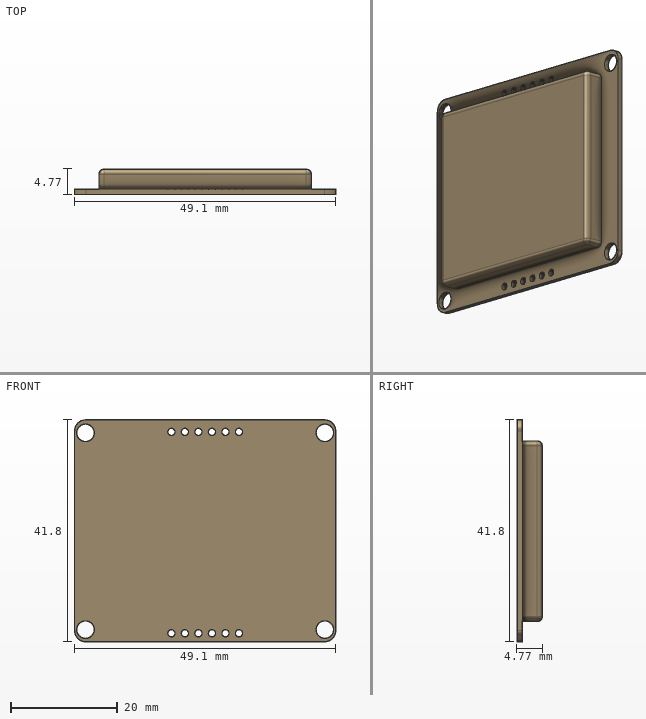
import cadquery as cq

BOARD_WIDTH = 49.15
BOARD_HEIGHT = 41.78
BOARD_THICKNESS = 1.02
BOARD_CORNER_RADIUS = 2.15

LAYOUT_CENTER_Z = -0.08

TOTAL_DEPTH = 4.77
BLOCK_WIDTH = 40.0
BLOCK_HEIGHT = 34.0
BLOCK_DEPTH = TOTAL_DEPTH - BOARD_THICKNESS
BLOCK_EDGE_RADIUS = 1.0

MOUNT_HOLE_DIAMETER = 3.25
MOUNT_SPACING_X = 45.0
MOUNT_SPACING_Z = 37.0

PIN_HOLE_DIAMETER = 1.3
PIN_COUNT = 6
PIN_PITCH = 2.54
PIN_ROW_HEIGHTS = (18.6, -19.27)


def front_plane():
    """XZ sketch plane on the front face of the board, with its normal along -Y."""
    return cq.Workplane("XZ")


def make_board():
    board = front_plane().rect(BOARD_WIDTH, BOARD_HEIGHT).extrude(-BOARD_THICKNESS)
    return board.edges("|Y").fillet(BOARD_CORNER_RADIUS)


def make_block():
    """Block with its side corners and rear rim rounded, its seat on the board left square."""
    block = (
        front_plane()
        .workplane(offset=-BOARD_THICKNESS)
        .center(0, LAYOUT_CENTER_Z)
        .rect(BLOCK_WIDTH, BLOCK_HEIGHT)
        .extrude(-BLOCK_DEPTH)
    )
    return block.edges("|Y or >Y").fillet(BLOCK_EDGE_RADIUS)


def make_mount_holes():
    return (
        front_plane()
        .center(0, LAYOUT_CENTER_Z)
        .rect(MOUNT_SPACING_X, MOUNT_SPACING_Z, forConstruction=True)
        .vertices()
        .circle(MOUNT_HOLE_DIAMETER / 2)
        .extrude(-BOARD_THICKNESS)
    )


def make_pin_row(row_height):
    return (
        front_plane()
        .center(0, row_height)
        .rarray(PIN_PITCH, PIN_PITCH, PIN_COUNT, 1)
        .circle(PIN_HOLE_DIAMETER / 2)
        .extrude(-BOARD_THICKNESS)
    )


result = make_board().union(make_block()).cut(make_mount_holes())
for pin_row_height in PIN_ROW_HEIGHTS:
    result = result.cut(make_pin_row(pin_row_height))